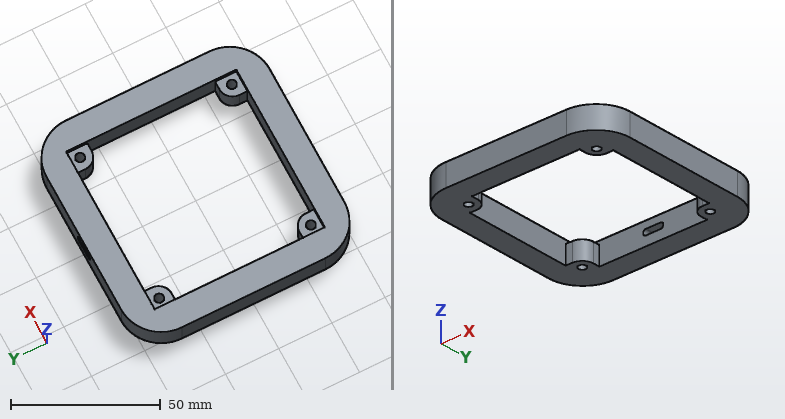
import cadquery as cq

OUTER_SIDE = 84.0
HEIGHT = 10.0
WALL = 10.0
CORNER_RADIUS = 15.0
OPENING_SIDE = OUTER_SIDE - 2 * WALL

POST_SIDE = 8.0
POST_RADIUS = 4.95
POST_DROP = 1.7
POST_HEIGHT = HEIGHT - POST_DROP
HOLE_DIAMETER = 3.4
HOLE_INSET = 3.45

SLOT_LENGTH = 9.0
SLOT_HEIGHT = 2.5
SLOT_CENTER_HEIGHT = 5.5


def make_frame():
    outer = cq.Workplane("XY").rect(OUTER_SIDE, OUTER_SIDE).extrude(HEIGHT)
    outer = outer.edges("|Z").fillet(CORNER_RADIUS)
    opening = cq.Workplane("XY").rect(OPENING_SIDE, OPENING_SIDE).extrude(HEIGHT)
    return outer.cut(opening)


def make_post(x_sign, y_sign):
    """Square post in one corner of the opening, rounded on its free edge."""
    post_offset = (OPENING_SIDE - POST_SIDE) / 2
    hole_offset = OPENING_SIDE / 2 - HOLE_INSET
    free_edge = (">X" if x_sign < 0 else "<X") + " and " + (">Y" if y_sign < 0 else "<Y")
    post = (
        cq.Workplane("XY")
        .center(x_sign * post_offset, y_sign * post_offset)
        .rect(POST_SIDE, POST_SIDE)
        .extrude(POST_HEIGHT)
        .edges(free_edge)
        .fillet(POST_RADIUS)
    )
    hole = (
        cq.Workplane("XY")
        .center(x_sign * hole_offset, y_sign * hole_offset)
        .circle(HOLE_DIAMETER / 2)
        .extrude(POST_HEIGHT)
    )
    return post.cut(hole)


def make_slot():
    return (
        cq.Workplane("XZ", origin=(0, OUTER_SIDE / 2, SLOT_CENTER_HEIGHT))
        .slot2D(SLOT_LENGTH, SLOT_HEIGHT)
        .extrude(WALL)
    )


result = make_frame().cut(make_slot())
for x_sign in (-1, 1):
    for y_sign in (-1, 1):
        result = result.union(make_post(x_sign, y_sign))